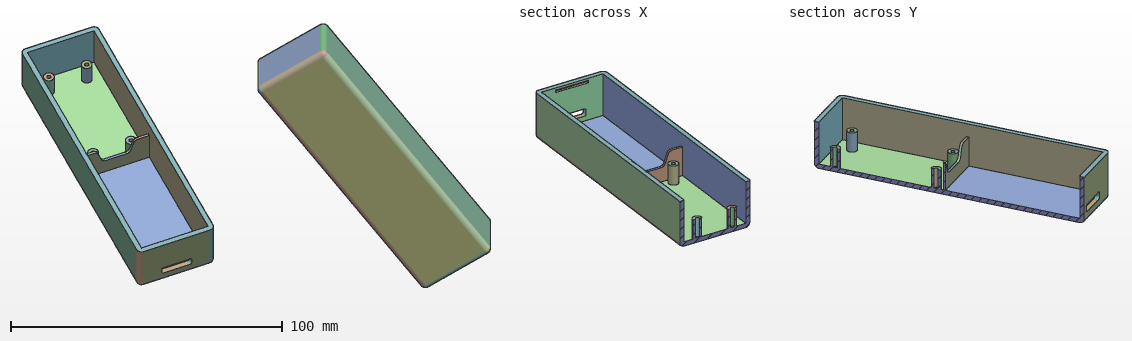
import cadquery as cq

case_length = 109.0
case_width = 30.7
case_height = 19.4
wall = 2.0
outer_radius = 2.0
inner_length = case_length - 2 * wall
inner_width = case_width - 2 * wall

standoff_diameter = 4.0
standoff_hole_diameter = 1.5
standoff_height = 8.0
standoff_pitch_x = 40.7
standoff_pitch_y = 15.2
standoff_center_x = -25.65

partition_thickness = 1.0
board_bay_length = 50.0
partition_height = 12.0
dip_depth = 6.0
dip_floor_half_width = 5.5
dip_top_half_width = 7.5
dip_radius = 2.0

port_width = 12.0
port_height = 3.0
port_corner_radius = 0.8
port_above_floor = 2.0

groove_width = 14.2
groove_height = 1.0
groove_depth = 1.0
groove_below_rim = 0.9


def make_tray():
    """Rounded block, hollowed from the top."""
    outer = cq.Workplane("XY").box(case_length, case_width, case_height, centered=(True, True, False))
    outer = outer.edges("|Z").fillet(outer_radius)
    outer = outer.faces("<Z").edges().fillet(outer_radius)
    cavity = (
        cq.Workplane("XY")
        .box(inner_length, inner_width, case_height, centered=(True, True, False))
        .translate((0, 0, wall))
    )
    return outer.cut(cavity)


def make_partition():
    """Cross wall whose top edge slopes down to a dip, with every slope end rounded."""
    half_width = inner_width / 2
    top = wall + partition_height
    dip_floor = top - dip_depth
    start_x = -inner_length / 2 + board_bay_length
    partition = (
        cq.Workplane("YZ")
        .workplane(offset=start_x)
        .moveTo(-half_width, wall)
        .lineTo(half_width, wall)
        .lineTo(half_width, top)
        .lineTo(dip_top_half_width, top)
        .lineTo(dip_floor_half_width, dip_floor)
        .lineTo(-dip_floor_half_width, dip_floor)
        .lineTo(-dip_top_half_width, top)
        .lineTo(-half_width, top)
        .close()
        .extrude(partition_thickness)
    )
    slope_ends = cq.selectors.BoxSelector(
        (start_x, -dip_top_half_width - dip_radius, dip_floor - dip_radius),
        (start_x + partition_thickness, dip_top_half_width + dip_radius, top + dip_radius),
    )
    return partition.edges("|X").edges(slope_ends).fillet(dip_radius)


def make_standoffs():
    """Four hollow posts in a rectangle on the tray floor."""
    return (
        cq.Workplane("XY")
        .workplane(offset=wall)
        .center(standoff_center_x, 0)
        .rarray(standoff_pitch_x, standoff_pitch_y, 2, 2)
        .circle(standoff_diameter / 2)
        .circle(standoff_hole_diameter / 2)
        .extrude(standoff_height)
    )


def make_end_wall_cutter(depth, width, height, bottom):
    """Block that cuts into the +X end wall from its inner face."""
    return (
        cq.Workplane("XY")
        .box(depth, width, height, centered=(False, True, False))
        .translate((inner_length / 2, 0, bottom))
    )


def make_port():
    """Cutter for the round-cornered opening through the end wall."""
    block = make_end_wall_cutter(wall, port_width, port_height, wall + port_above_floor)
    return block.edges("|X").fillet(port_corner_radius)


def make_groove():
    """Cutter for the blind groove under the rim."""
    bottom = case_height - groove_below_rim - groove_height
    return make_end_wall_cutter(groove_depth, groove_width, groove_height, bottom)


result = make_tray().union(make_partition()).union(make_standoffs())
result = result.cut(make_port()).cut(make_groove())